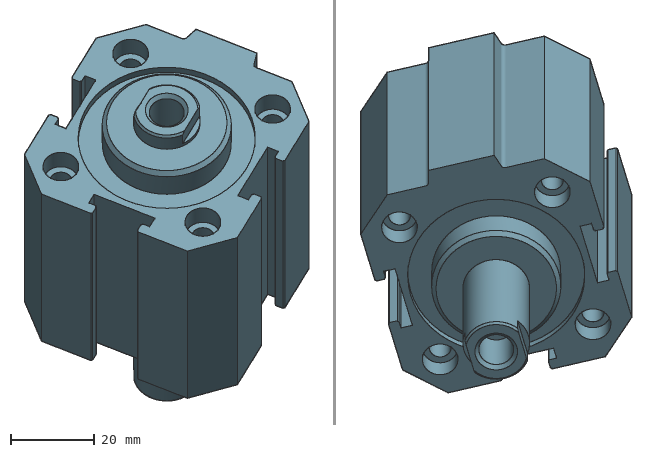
import cadquery as cq
import math

total_length = 105.5
block_height = 58.4
collar_height = 6.0
rod_top_extension = 5.0
rod_top = block_height + collar_height + rod_top_extension
rod_bottom = rod_top - total_length

block_width = 57.0
half_width = block_width / 2
corner_chamfer = 9.0
rail_height = 4.0
rail_half_width = 8.1
rail_flank_angle = 15.0
rail_root_radius = 1.1

slot_mouth_width = 11.9
slot_inner_width = 16.2
slot_depth = 5.5
slot_lip = 2.6
slot_lip_radius = 0.3

mount_spacing = 38.0
mount_hole_diameter = 5.3
counterbore_diameter = 8.5
counterbore_depth = 5.7

recess_diameter = 42.5
recess_depth = 2.0
collar_diameter = 31.0
collar_chamfer = 1.1

rod_diameter = 16.0
rod_end_chamfer = 0.5
flat_width = 13.1
flat_length = 4.0
rod_hole_diameter = 8.3
rod_hole_depth = 12.7
rod_hole_chamfer = 1.0


def make_block():
    """Octagonal block with a tapered rail along its +Y side."""
    edge = half_width - corner_chamfer
    root = rail_half_width + rail_height * math.tan(math.radians(rail_flank_angle))
    right_side = [
        (edge, -half_width),
        (half_width, -edge),
        (half_width, edge),
        (edge, half_width),
        (root, half_width),
        (rail_half_width, half_width + rail_height),
    ]
    left_side = [(-x, y) for x, y in reversed(right_side)]
    block = cq.Workplane("XY").polyline(right_side + left_side).close().extrude(block_height)
    margin = rail_root_radius / 10
    rail_roots = cq.selectors.BoxSelector(
        (-root - margin, half_width - margin, 0), (root + margin, half_width + margin, block_height)
    )
    return block.edges("|Z").edges(rail_roots).fillet(rail_root_radius)


def make_slot_cutter():
    """T-shaped cutter for the slot in the -Y side, with rounded lips."""
    mouth = slot_mouth_width / 2
    inner = slot_inner_width / 2
    radius = slot_lip_radius
    outer_y = -half_width
    lip_y = outer_y + slot_lip
    floor_y = outer_y + slot_depth
    return (
        cq.Workplane("XY")
        .moveTo(-mouth - radius, outer_y)
        .lineTo(mouth + radius, outer_y)
        .radiusArc((mouth, outer_y + radius), -radius)
        .lineTo(mouth, lip_y - radius)
        .radiusArc((mouth + radius, lip_y), -radius)
        .lineTo(inner, lip_y)
        .lineTo(inner, floor_y)
        .lineTo(-inner, floor_y)
        .lineTo(-inner, lip_y)
        .lineTo(-mouth - radius, lip_y)
        .radiusArc((-mouth, lip_y - radius), -radius)
        .lineTo(-mouth, outer_y + radius)
        .radiusArc((-mouth - radius, outer_y), -radius)
        .close()
        .extrude(block_height)
    )


def cut_mounting_holes(block):
    """Four through holes with a counterbore at each end."""

    def hole_pattern(diameter, start, depth):
        return (
            cq.Workplane("XY", origin=(0, 0, start))
            .rect(mount_spacing, mount_spacing, forConstruction=True)
            .vertices()
            .circle(diameter / 2)
            .extrude(depth)
        )

    block = block.cut(hole_pattern(mount_hole_diameter, 0, block_height))
    for start in (0, block_height - counterbore_depth):
        block = block.cut(hole_pattern(counterbore_diameter, start, counterbore_depth))
    return block


def make_housing():
    """Slotted block with recessed ends, a collar at each end and a bore for the rod."""
    housing = cut_mounting_holes(make_block())
    slot = make_slot_cutter()
    for angle in (-90, 0, 90):
        housing = housing.cut(slot.rotate((0, 0, 0), (0, 0, 1), angle))

    for start in (0, block_height - recess_depth):
        recess = cq.Workplane("XY", origin=(0, 0, start)).circle(recess_diameter / 2).extrude(recess_depth)
        housing = housing.cut(recess)

    collars = (
        cq.Workplane("XY", origin=(0, 0, -collar_height))
        .circle(collar_diameter / 2)
        .extrude(block_height + 2 * collar_height)
        .faces("<Z or >Z")
        .chamfer(collar_chamfer)
    )
    bore = cq.Workplane("XY", origin=(0, 0, rod_bottom)).circle(rod_diameter / 2).extrude(total_length)
    return housing.union(collars).cut(bore).solids()


def make_rod():
    """Through rod with wrench flats and a chamfered blind hole at each end."""
    rod = (
        cq.Workplane("XY", origin=(0, 0, rod_bottom))
        .circle(rod_diameter / 2)
        .extrude(total_length)
        .faces("<Z or >Z")
        .chamfer(rod_end_chamfer)
    )
    hole_radius = rod_hole_diameter / 2
    mouth_radius = hole_radius + rod_hole_chamfer
    for end, inward in ((rod_top, -1), (rod_bottom, 1)):
        flat_middle = end + inward * flat_length / 2
        for side in (-1, 1):
            flat_cutter = cq.Workplane("XY").box(rod_diameter, 2 * rod_diameter, flat_length).translate(
                (side * (flat_width + rod_diameter) / 2, 0, flat_middle)
            )
            rod = rod.cut(flat_cutter)

        hole = (
            cq.Workplane("XZ")
            .moveTo(0, end)
            .lineTo(mouth_radius, end)
            .lineTo(hole_radius, end + inward * rod_hole_chamfer)
            .lineTo(hole_radius, end + inward * rod_hole_depth)
            .lineTo(0, end + inward * rod_hole_depth)
            .close()
            .revolve(360, (0, 0, 0), (0, 1, 0))
        )
        rod = rod.cut(hole)
    return rod.solids()


housing = make_housing()
rod = make_rod()
result = cq.Compound.makeCompound([housing.val(), rod.val()])